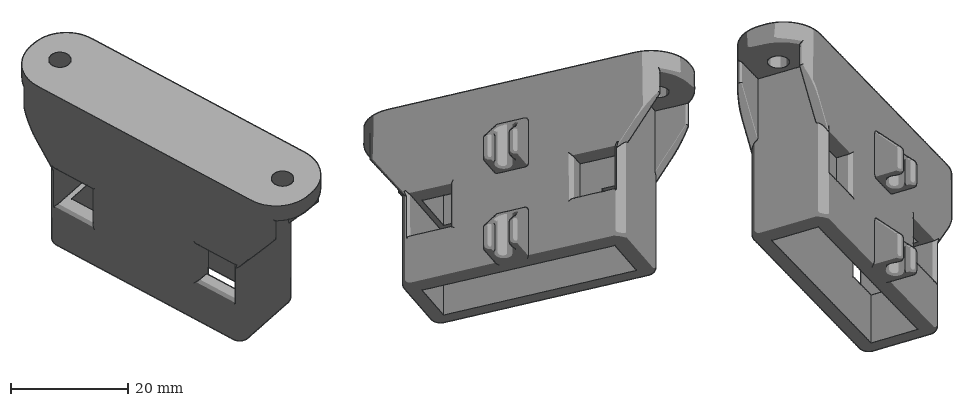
import cadquery as cq


flange_length = 60.0
depth = 15.0
flange_corner_radius = 7.0
flange_thickness = 4.0
body_length = 42.0
body_height = 35.5
body_corner_radius = 2.0
edge_round = 0.95
wing_outer_round = 0.5
wing_inner_round = 0.35

wing_span = 54.0
wing_inner_y = depth / 2 - body_corner_radius
wing_straight_end = 8.15
wing_slope_end = 16.45

screw_hole_diameter = 3.8
screw_hole_spacing = 48.0

wall = 3.0
window_width = 7.5
window_height = 8.05
window_top = -17.7
window_outer_x = body_length / 2 - body_corner_radius
window_inner_x = window_outer_x - window_width
window_bottom = window_top - window_height
selection_margin = 0.6

clip_width = 6.5
clip_reach = 5.0
clip_front_height = 4.8
clip_bore_radius = 1.75
clip_bore_offset = 2.5
clip_throat_width = 3.1
clip_tip_round = 0.8
clip_rim_round = 0.7
clip_bottoms = (-body_height, -body_height / 2)
clip_root = 1.2


def box(x_range, y_range, z_range):
    """Axis-aligned block between the given limits."""
    size = [high - low for low, high in (x_range, y_range, z_range)]
    corner = (x_range[0], y_range[0], z_range[0])
    return cq.Workplane("XY").box(*size, centered=False).translate(corner)


def rounded_bar(length, corner_radius, height):
    """Upright block below z = 0 with rounded vertical corners."""
    bar = cq.Workplane("XY").rect(length, depth).extrude(-height)
    return bar.edges("|Z").fillet(corner_radius)


def make_flange():
    flange = rounded_bar(flange_length, flange_corner_radius, flange_thickness)
    return flange.faces("<Z").edges().fillet(edge_round)


def make_body():
    body = rounded_bar(body_length, body_corner_radius, body_height)
    return body.faces("<Z").edges().fillet(edge_round)


def tapered_block():
    """Flange outline extended down and tapered to the body side, with rounded end edges."""
    half_span = wing_span / 2
    slope = (wing_slope_end - wing_straight_end) / (half_span - body_length / 2)
    tip_x = window_outer_x - wall
    tip_z = -wing_straight_end - slope * (half_span - tip_x)
    profile = (
        cq.Workplane("XZ")
        .moveTo(half_span, 0)
        .lineTo(half_span, -wing_straight_end)
        .lineTo(tip_x, tip_z)
        .lineTo(-tip_x, tip_z)
        .lineTo(-half_span, -wing_straight_end)
        .lineTo(-half_span, 0)
        .close()
        .extrude(depth / 2, both=True)
    )
    outline = rounded_bar(flange_length, flange_corner_radius, body_height)
    block = outline.intersect(profile)
    upright_ends = block.faces("<X or >X").edges("|Z")
    sloped_ends = block.edges("(not (|X or |Y or |Z)) and (not >Z)")
    return block.newObject(upright_ends.vals() + sloped_ends.vals()).fillet(wing_outer_round)


def add_wings(part):
    """Brace the flange with the front and back skins of the tapered block."""
    block = tapered_block()
    reach = flange_length / 2
    for y_range, inner_face in (
        ((-depth / 2, -wing_inner_y), ">Y"),
        ((wing_inner_y, depth / 2), "<Y"),
    ):
        wing = block.intersect(box((-reach, reach), y_range, (-body_height, 0)))
        wing = wing.faces(inner_face).edges("not |X").fillet(wing_inner_round)
        part = part.union(wing)
    return part


def cut_screw_holes(part):
    holes = (
        cq.Workplane("XY")
        .rarray(screw_hole_spacing, 0.6, 2, 1)
        .circle(screw_hole_diameter / 2)
        .extrude(-flange_thickness)
    )
    return part.cut(holes)


def window_opening(side, margin=0.0):
    """Straight window block at the left (side -1) or right (side 1), grown in X and Z by a margin."""
    x_low, x_high = sorted((side * window_inner_x, side * window_outer_x))
    return box(
        (x_low - margin, x_high + margin),
        (-depth / 2, depth / 2),
        (window_bottom - margin, window_top + margin),
    )


def flared_window(side):
    """Window with its rims on the front and back faces rounded outward."""
    block = window_opening(side, wall)
    frame = block.cut(window_opening(side))
    limits = window_opening(side, selection_margin).val().BoundingBox()
    rims = frame.faces("<Y or >Y").edges(cq.selectors.BoxSelector(
        (limits.xmin, limits.ymin - selection_margin, limits.zmin),
        (limits.xmax, limits.ymax + selection_margin, limits.zmax),
    ))
    return block.cut(rims.fillet(edge_round))


def cut_socket(part):
    """Socket up to the flange, with a window pair; the right sill is rounded toward the socket."""
    half_length = body_length / 2 - wall
    half_depth = depth / 2 - wall
    part = part.cut(box(
        (-half_length, half_length),
        (-half_depth, half_depth),
        (-body_height, -flange_thickness),
    ))
    for side in (-1, 1):
        part = part.cut(window_opening(side))
    right_sill = part.edges(cq.selectors.BoxSelector(
        (0, -half_depth - selection_margin, window_bottom - selection_margin),
        (half_length + selection_margin, half_depth + selection_margin, window_bottom + selection_margin),
    ))
    part = right_sill.fillet(edge_round)
    for side in (-1, 1):
        part = part.cut(flared_window(side))
    return part


def make_clip():
    """Snap clip with a sloped top, standing on z = 0 behind the back face."""
    back = depth / 2
    tip = back + clip_reach
    slope_top = clip_front_height + clip_reach + clip_root
    clip = (
        cq.Workplane("YZ")
        .moveTo(back - clip_root, 0)
        .lineTo(tip, 0)
        .lineTo(tip, clip_front_height)
        .lineTo(back - clip_root, slope_top)
        .close()
        .extrude(clip_width / 2, both=True)
    )
    bore_y = back + clip_bore_offset
    bore = cq.Workplane("XY").center(0, bore_y).circle(clip_bore_radius).extrude(slope_top)
    half_throat = clip_throat_width / 2
    throat = box((-half_throat, half_throat), (bore_y, tip), (0, slope_top))
    clip = clip.cut(bore).cut(throat)
    clip = clip.edges("|Z").edges(">Y").fillet(clip_tip_round)
    return clip.edges("(not |Z) and (not <Y)").fillet(clip_rim_round)


def add_clips(part):
    clip = make_clip()
    for bottom in clip_bottoms:
        part = part.union(clip.translate((0, 0, bottom)))
    return part


result = make_body().union(make_flange())
result = add_wings(result)
result = cut_screw_holes(result)
result = cut_socket(result)
result = add_clips(result)